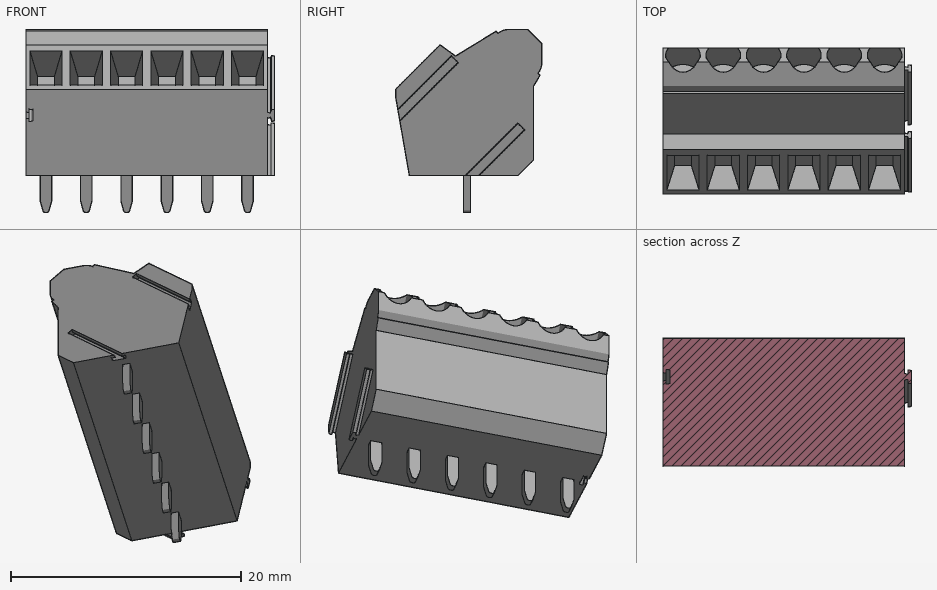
import cadquery as cq
import math


pole_count = 6
pole_pitch = 3.5
overall_length = 21.6
housing_length = pole_count * pole_pitch
housing_height = 12.7
rear_y = 6.5
front_y = -6.2

wall_y = 5.79
wall_top_z = 7.78
foot_chamfer = 1.38
head_chamfer = 1.23
arc_start_setback = 2.9
arc_end_setback = 3.8
arc_drop = 0.32
step_setback = 3.97
step_drop = 0.15
notch_y = -1.0
notch_z = 10.4
entry_face_low_z = 7.5
entry_face_rise = 3.87
front_band_low_z = 6.83
front_foot_y = -5.01

screw_hole_diameter = 3.0
screw_hole_depth = 2.68

funnel_width = 2.79
funnel_length = 4.21
funnel_margin = 0.52
funnel_depth = 2.33
funnel_side_inset = 0.67
funnel_low_inset = 0.67
funnel_high_inset = 0.85

rib_height = overall_length - housing_length
rib_neck_width = 0.37
groove_neck_width = 0.43
root_height = 0.15
root_flare = 0.05
neck_height = 0.28
flare_start = 0.24
flare_end = 0.35
head_width = 0.86
head_taper_start = 0.45
head_taper = 0.05
front_rib_end = (-1.05, 10.1)
rear_rib_end = (4.7, 4.28)

pin_width = 1.02
pin_thickness = 0.65
pin_length = 3.2
pin_taper_start = 2.18
pin_tip_width = 0.45
pin_tip_radius = 0.24

into_slope = (0, math.sqrt(0.5), -math.sqrt(0.5))
down_slope = (0, -math.sqrt(0.5), -math.sqrt(0.5))
pole_centers = [(i + 0.5) * pole_pitch for i in range(pole_count)]


def arc_middle(start, end, center):
    """Point halfway along the short arc from start to end about center."""
    radius = math.dist(start, center)
    dy = (start[0] + end[0]) / 2 - center[0]
    dz = (start[1] + end[1]) / 2 - center[1]
    reach = radius / math.hypot(dy, dz)
    return (center[0] + dy * reach, center[1] + dz * reach)


def profile_prism(length):
    """Side profile of the housing extruded along X."""
    arc_span = arc_end_setback - arc_start_setback
    arc_radius = (arc_span**2 + arc_drop**2) / (2 * arc_drop)

    top_arc_start = (rear_y - arc_start_setback, housing_height)
    top_arc_end = (rear_y - arc_end_setback, housing_height - arc_drop)
    top_arc_center = (top_arc_start[0], housing_height - arc_radius)

    rear_arc_start = (rear_y - arc_drop, housing_height - arc_end_setback)
    rear_arc_end = (rear_y, housing_height - arc_start_setback)
    rear_arc_center = (rear_y - arc_radius, rear_arc_end[1])

    return (
        cq.Workplane("YZ")
        .moveTo(front_foot_y, 0)
        .lineTo(wall_y - foot_chamfer, 0)
        .lineTo(wall_y, foot_chamfer)
        .lineTo(wall_y, wall_top_z)
        .lineTo(rear_y - step_drop, housing_height - step_setback)
        .lineTo(*rear_arc_start)
        .threePointArc(arc_middle(rear_arc_start, rear_arc_end, rear_arc_center), rear_arc_end)
        .lineTo(rear_y, housing_height - head_chamfer)
        .lineTo(rear_y - head_chamfer, housing_height)
        .lineTo(*top_arc_start)
        .threePointArc(arc_middle(top_arc_start, top_arc_end, top_arc_center), top_arc_end)
        .lineTo(rear_y - step_setback, housing_height - step_drop)
        .lineTo(notch_y, notch_z)
        .lineTo(front_y + entry_face_rise, entry_face_low_z + entry_face_rise)
        .lineTo(front_y, entry_face_low_z)
        .lineTo(front_y, front_band_low_z)
        .close()
        .extrude(length)
    )


def screw_hole(center_x):
    """Blind round hole whose axis passes through the middle of the head chamfer."""
    mouth = cq.Vector(center_x, rear_y - head_chamfer / 2, housing_height - head_chamfer / 2)
    axis = cq.Vector(*down_slope)
    clearance = screw_hole_diameter
    return cq.Workplane(
        cq.Solid.makeCylinder(
            screw_hole_diameter / 2, screw_hole_depth + clearance, mouth - axis * clearance, axis
        )
    )


def funnel(center_x):
    """Tapered rectangular pocket in the wire entry face."""
    entry_plane = cq.Plane(
        origin=(center_x, front_y, entry_face_low_z), xDir=(-1, 0, 0), normal=into_slope
    )
    floor_width = funnel_width - 2 * funnel_side_inset
    floor_length = funnel_length - funnel_low_inset - funnel_high_inset
    mouth_center = funnel_margin + funnel_length / 2
    floor_shift = (funnel_low_inset - funnel_high_inset) / 2
    return (
        cq.Workplane(entry_plane)
        .center(0, mouth_center)
        .rect(funnel_width, funnel_length)
        .workplane(offset=funnel_depth)
        .center(0, floor_shift)
        .rect(floor_width, floor_length)
        .loft(ruled=True)
    )


def tee_bar(base_x, end, neck_width, step_start, step_end):
    """Long T-shaped bar that starts at the given upper end and runs down the 45 degree slope."""
    end_plane = cq.Plane(origin=(base_x, *end), xDir=(1, 0, 0), normal=down_slope)
    half_neck = neck_width / 2
    half_head = head_width / 2
    upper_side = [
        (0, half_neck + root_flare),
        (root_height, half_neck),
        (step_start, half_neck),
        (step_end, half_head),
        (head_taper_start, half_head),
        (rib_height, half_head - head_taper),
    ]
    lower_side = [(height, -half_width) for height, half_width in reversed(upper_side)]
    return cq.Workplane(end_plane).polyline(upper_side + lower_side).close().extrude(housing_height)


def make_housing():
    """Housing with its ribs, grooves, screwdriver holes and wire entry funnels."""
    body = profile_prism(housing_length)

    front_rib = tee_bar(housing_length, front_rib_end, rib_neck_width, flare_start, flare_end)
    rear_rib = tee_bar(housing_length, rear_rib_end, rib_neck_width, neck_height, neck_height)
    rib_limits = profile_prism(overall_length)
    for rib in (front_rib, rear_rib):
        body = body.union(rib.intersect(rib_limits))

    for groove_end in (front_rib_end, rear_rib_end):
        body = body.cut(tee_bar(0, groove_end, groove_neck_width, neck_height, neck_height))

    for center_x in pole_centers:
        body = body.cut(screw_hole(center_x)).cut(funnel(center_x))
    return body


def make_pin(center_x):
    """Flat solder pin with a tapered, rounded tip, standing under the housing."""
    return (
        cq.Workplane("XZ", origin=(center_x, 0, 0))
        .moveTo(-pin_width / 2, 0)
        .lineTo(-pin_width / 2, -pin_taper_start)
        .lineTo(-pin_tip_width / 2, -pin_length)
        .lineTo(pin_tip_width / 2, -pin_length)
        .lineTo(pin_width / 2, -pin_taper_start)
        .lineTo(pin_width / 2, 0)
        .close()
        .extrude(pin_thickness / 2, both=True)
        .faces("<Z")
        .edges("|Y")
        .fillet(pin_tip_radius)
    )


housing = make_housing()
pins = [make_pin(center_x) for center_x in pole_centers]

result = cq.Compound.makeCompound([housing.val(), *[pin.val() for pin in pins]])